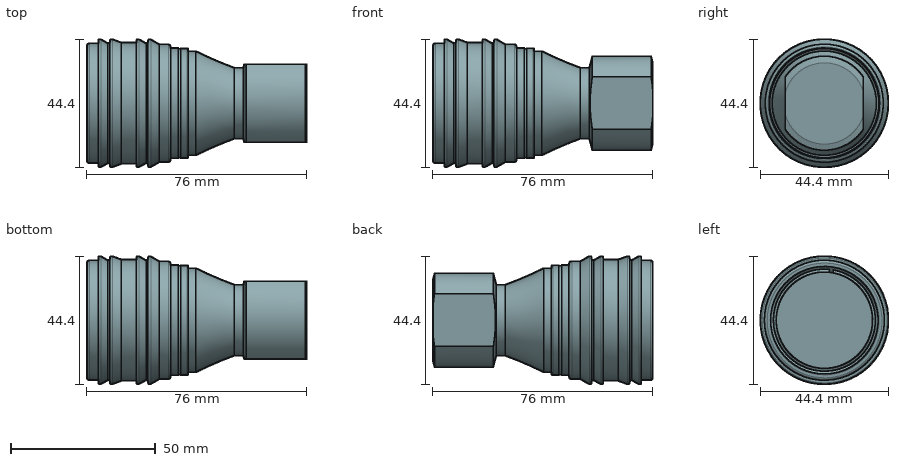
import cadquery as cq
import math

length = 76.0

mouth_ring_radius = 41.5 / 2
mouth_ring_fillet = 0.9
lip_radius = 44.4 / 2
lip_tip_radius = 0.6
lip_groove_radius = 41.5 / 2
lip_groove_fillet = 0.7
first_lip_x = 3.95
second_lip_x = 8.0
third_lip_x = 17.1
fourth_lip_x = 21.1
label_band_start = 11.9
label_band_radius = 42.0 / 2
rear_band_start = 25.0
rear_band_radius = 40.8 / 2
rear_band_end = 28.95
rear_band_fillet = 0.9

front_step_radius = 38.2 / 2
ring_groove_radius = 37.8 / 2
ring_groove_start = 31.55
ring_groove_end = 32.45
rear_step_radius = 38.0 / 2
rear_step_end = 35.0
rear_step_fillet = 0.45
taper_start_radius = 36.0 / 2
taper_start = 37.7
taper_end = 50.9
taper_sag = 0.2
neck_radius = 24.6 / 2

wrench_start = 54.0
wrench_radius = 32.5 / 2
across_flats = 27.0
wrench_chamfer_angle = 15.0
end_face_radius = 14.05

mouth_bore_radius = 37.2 / 2
mouth_edge_fillet = 0.2
core_radius = 33.3 / 2
ring_depth = 2.3
ring_radius = 17.6
ring_bore_radius = 33.5 / 2
ring_fillet = ring_radius - ring_bore_radius
seat_end = ring_depth + mouth_bore_radius - core_radius

ring_gap_y = -2.4
ring_gap_width = 1.4


def arc(outline, center, radius, start_angle, end_angle):
    """Continue the outline along an arc; angles are in degrees from +X."""
    points = []
    for angle in ((start_angle + end_angle) / 2, end_angle):
        turn = math.radians(angle)
        points.append((center[0] + radius * math.cos(turn), center[1] + radius * math.sin(turn)))
    return outline.threePointArc(*points)


def convex_corner(outline, end_x, radius, fillet):
    """Run along a cylinder to its rear shoulder and round the shoulder."""
    outline = outline.lineTo(end_x - fillet, radius)
    return arc(outline, (end_x - fillet, radius - fillet), fillet, 90, 0)


def groove_fillet(outline, face_x):
    """Round the groove in front of a lip into the face of that lip."""
    center = (face_x - lip_groove_fillet, lip_groove_radius + lip_groove_fillet)
    return arc(outline, center, lip_groove_fillet, -90, 0)


def lip(outline, face_x, end_x, end_radius):
    """Add a gripping lip: flat front face, rounded tip and a conical back tangent to the tip."""
    tip_center = (face_x + lip_tip_radius, lip_radius - lip_tip_radius)
    outline = outline.lineTo(face_x, tip_center[1])
    run = end_x - tip_center[0]
    rise = end_radius - tip_center[1]
    tangent_angle = math.atan2(rise, run) + math.acos(lip_tip_radius / math.hypot(run, rise))
    outline = arc(outline, tip_center, lip_tip_radius, 180, math.degrees(tangent_angle))
    return outline.lineTo(end_x, end_radius)


def revolve_about_x(outline):
    return outline.close().revolve(360, (0, 0, 0), (1, 0, 0))


def make_body():
    outline = cq.Workplane("XY").lineTo(0, mouth_ring_radius - mouth_ring_fillet)
    mouth_corner = (mouth_ring_fillet, mouth_ring_radius - mouth_ring_fillet)
    outline = arc(outline, mouth_corner, mouth_ring_fillet, 180, 90)

    outline = outline.lineTo(first_lip_x, mouth_ring_radius)
    outline = lip(outline, first_lip_x, second_lip_x - lip_groove_fillet, lip_groove_radius)
    outline = groove_fillet(outline, second_lip_x)
    outline = lip(outline, second_lip_x, label_band_start, label_band_radius)

    outline = outline.lineTo(third_lip_x, label_band_radius)
    outline = lip(outline, third_lip_x, fourth_lip_x - lip_groove_fillet, lip_groove_radius)
    outline = groove_fillet(outline, fourth_lip_x)
    outline = lip(outline, fourth_lip_x, rear_band_start, rear_band_radius)
    outline = convex_corner(outline, rear_band_end, rear_band_radius, rear_band_fillet)

    outline = (
        outline.lineTo(rear_band_end, front_step_radius)
        .lineTo(ring_groove_start, front_step_radius)
        .lineTo(ring_groove_start, ring_groove_radius)
        .lineTo(ring_groove_end, ring_groove_radius)
        .lineTo(ring_groove_end, rear_step_radius)
    )
    outline = convex_corner(outline, rear_step_end, rear_step_radius, rear_step_fillet)

    taper_middle = (
        (taper_start + taper_end) / 2,
        (taper_start_radius + neck_radius) / 2 - taper_sag,
    )
    outline = (
        outline.lineTo(rear_step_end, taper_start_radius)
        .lineTo(taper_start, taper_start_radius)
        .threePointArc(taper_middle, (taper_end, neck_radius))
        .lineTo(wrench_start, neck_radius)
        .lineTo(wrench_start, 0)
    )
    return revolve_about_x(outline)


def make_wrench_end():
    """Cylinder with coned ends and two flats facing -Y and +Y."""
    cone_run = math.tan(math.radians(wrench_chamfer_angle))
    front_cone = (wrench_radius - neck_radius) * cone_run
    rear_cone = (wrench_radius - end_face_radius) * cone_run
    outline = (
        cq.Workplane("XY")
        .moveTo(wrench_start, 0)
        .lineTo(wrench_start, neck_radius)
        .lineTo(wrench_start + front_cone, wrench_radius)
        .lineTo(length - rear_cone, wrench_radius)
        .lineTo(length, end_face_radius)
        .lineTo(length, 0)
    )
    flats = cq.Workplane("XY").box(2 * length, across_flats, 2 * wrench_radius)
    return revolve_about_x(outline).intersect(flats)


def make_mouth_gap():
    """Gap between the flush core and the mouth bore, closed by a 45 degree seat."""
    outline = cq.Workplane("XY").moveTo(0, core_radius).lineTo(0, mouth_bore_radius + mouth_edge_fillet)
    fillet_center = (mouth_edge_fillet, mouth_bore_radius + mouth_edge_fillet)
    outline = (
        arc(outline, fillet_center, mouth_edge_fillet, 180, 270)
        .lineTo(ring_depth, mouth_bore_radius)
        .lineTo(seat_end, core_radius)
    )
    return revolve_about_x(outline)


def make_ring():
    """Locking ring with a rounded outer rim, split near its top."""
    outline = (
        cq.Workplane("XY")
        .moveTo(seat_end, core_radius)
        .lineTo(ring_depth, core_radius)
        .lineTo(ring_depth, ring_bore_radius)
    )
    outline = arc(outline, (ring_depth + ring_fillet, ring_bore_radius), ring_fillet, 180, 90)
    outline = outline.lineTo(seat_end, ring_radius)
    split = (
        cq.Workplane("XY")
        .box(seat_end, ring_gap_width, ring_radius, centered=(False, True, False))
        .translate((0, ring_gap_y, 0))
    )
    return revolve_about_x(outline).cut(split)


result = make_body().union(make_wrench_end()).cut(make_mouth_gap()).union(make_ring())